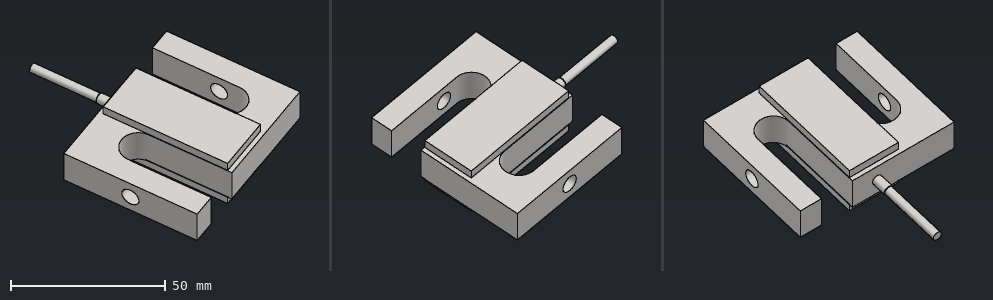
import cadquery as cq

overall_length = 82.55
block_length = 50.9
block_width = 63.5
block_thickness = 12.7
arm_width = 8.75
slot_width = 12.7
back_slot_depth = 39.6
front_slot_depth = 38.1
hole_diameter = 6.4

cover_length = 47.5
cover_width = 20.2
overall_thickness = 19.3

sleeve_diameter = 3.9
sleeve_length = 6.1
cable_diameter = 3.4
cable_length = overall_length - block_length

left_face = -block_length / 2
slot_center_y = block_width / 2 - arm_width - slot_width / 2


def round_ended_slot(depth):
    """Cutter open at the -X face with a full-round end, in the +Y half."""
    radius = slot_width / 2
    straight_length = depth - radius
    round_center_x = left_face + straight_length
    channel = (
        cq.Workplane("XY")
        .center(left_face + straight_length / 2, slot_center_y)
        .box(straight_length, slot_width, block_thickness)
    )
    end = (
        cq.Workplane("XY", origin=(round_center_x, slot_center_y, -block_thickness / 2))
        .circle(radius)
        .extrude(block_thickness)
    )
    return channel.union(end)


def arm_hole():
    """Cutter through the +Y arm, ending inside the slot."""
    return (
        cq.Workplane("XZ", origin=(0, block_width / 2, 0))
        .circle(hole_diameter / 2)
        .extrude(arm_width + slot_width / 2)
    )


def cable_section(diameter, length):
    """Cylinder running from the block's -X face toward -X."""
    return (
        cq.Workplane("YZ", origin=(left_face, 0, 0))
        .circle(diameter / 2)
        .extrude(-length)
    )


block = cq.Workplane("XY").box(block_length, block_width, block_thickness)
for turn, depth in ((0, back_slot_depth), (180, front_slot_depth)):
    for cutter in (round_ended_slot(depth), arm_hole()):
        block = block.cut(cutter.rotate((0, 0, 0), (0, 0, 1), turn))

covers = cq.Workplane("XY").box(cover_length, cover_width, overall_thickness)

sleeve = cable_section(sleeve_diameter, sleeve_length)
cable = cable_section(cable_diameter, cable_length)

result = block.union(covers).union(sleeve).union(cable)